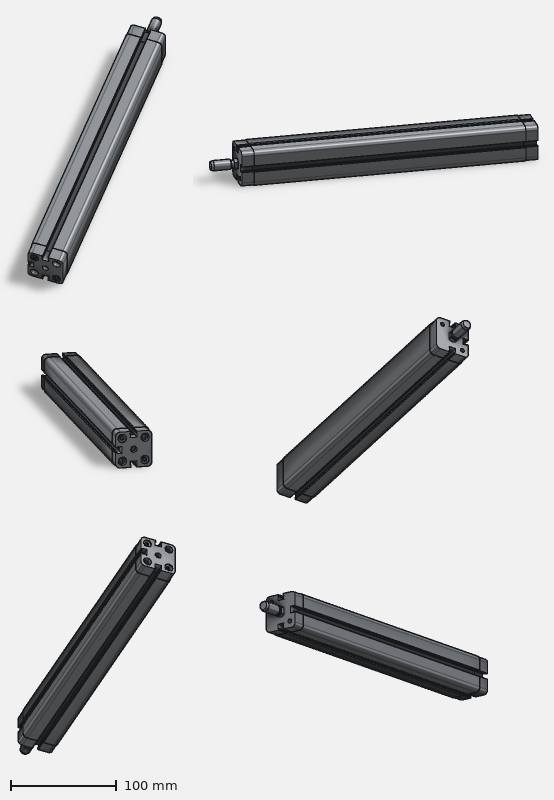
import cadquery as cq
import math


total_length = 314.5
rod_length = 26.0
cap_length = 12.0
barrel_width = 36.2
cap_width = 35.2
barrel_corner_radius = 4.7
housing_length = total_length - rod_length
barrel_length = housing_length - 2 * cap_length
cap_corner_radius = barrel_corner_radius - (barrel_width - cap_width) / 2

cap_slot_floor = 11.5
barrel_slot_floor = 11.3
slot_lip_underside = 15.7
slot_mouth_width = 6.3
slot_throat_width = 5.0
slot_throat_height = 17.0
slot_cavity_width = 6.5
slot_angles = (0, 90, 180)

hole_offset = 11.0
counterbore_diameter = 8.0
counterbore_depth = 5.0
through_hole_diameter = 4.0
screw_head_recess = 1.3
hex_socket_flats = 3.5
hex_socket_depth = 2.0
point_up_turn = 30
center_hole_diameter = 6.0
center_hole_depth = 4.7

rod_diameter = 10.0
tip_chamfer_length = 2.5
tip_chamfer_width = 1.0
thread_length = 19.8
thread_end_chamfer = 1.0
neck_diameter = 7.5
neck_end = 22.3
width_across_flats = 8.2


def square_block(width, corner_radius, start_y, length):
    """Square bar along Y with rounded long edges."""
    block = cq.Workplane("XY").box(width, length, width)
    return block.edges("|Y").fillet(corner_radius).translate((0, start_y + length / 2, 0))


def make_housing():
    """Barrel between two slightly narrower end caps."""
    housing = square_block(barrel_width, barrel_corner_radius, cap_length, barrel_length)
    for start_y in (0, cap_length + barrel_length):
        housing = housing.union(square_block(cap_width, cap_corner_radius, start_y, cap_length))
    return housing


def make_slot(angle, slot_floor, start_y, length):
    """T-slot cutter with a flared mouth, turned about the Y axis from the top side."""
    half_throat = slot_throat_width / 2
    half_mouth = slot_mouth_width / 2
    half_cavity = slot_cavity_width / 2
    right_side = [
        (half_cavity, slot_floor),
        (half_cavity, slot_lip_underside),
        (half_throat, slot_lip_underside),
        (half_throat, slot_throat_height),
        (half_mouth, barrel_width / 2),
    ]
    left_side = [(-x, z) for x, z in reversed(right_side)]
    slot = cq.Workplane("XZ").polyline(right_side + left_side).close().extrude(-length)
    return slot.translate((0, start_y, 0)).rotate((0, 0, 0), (0, 1, 0), -angle)


def make_hole(x, z, diameter, depth):
    """Round cutter running from the closed end toward +Y."""
    return cq.Workplane("XZ").center(x, z).circle(diameter / 2).extrude(-depth)


def make_hex_socket(x, z):
    """Hexagonal cutter, points up and down, reaching below the recessed screw head."""
    corner_diameter = hex_socket_flats / math.cos(math.pi / 6)
    socket_end = screw_head_recess + hex_socket_depth
    socket = cq.Workplane("XZ").polygon(6, corner_diameter).extrude(-socket_end)
    return socket.rotate((0, 0, 0), (0, 1, 0), point_up_turn).translate((x, 0, z))


def make_rod():
    """Threaded piston rod with a relief neck and two wrench flats."""
    rod_radius = rod_diameter / 2
    neck_radius = neck_diameter / 2
    profile = [
        (0, total_length),
        (rod_radius - tip_chamfer_width, total_length),
        (rod_radius, total_length - tip_chamfer_length),
        (rod_radius, total_length - thread_length + thread_end_chamfer),
        (rod_radius - thread_end_chamfer, total_length - thread_length),
        (neck_radius, total_length - thread_length),
        (neck_radius, total_length - neck_end),
        (rod_radius, total_length - neck_end),
        (rod_radius, housing_length),
        (0, housing_length),
    ]
    rod = cq.Workplane("XY").polyline(profile).close().revolve(360, (0, 0, 0), (0, 1, 0))
    flats_length = rod_length - neck_end
    flats_center_y = total_length - (neck_end + rod_length) / 2
    for side in (-1, 1):
        flat_x = side * (width_across_flats + rod_diameter) / 2
        flat_cutter = cq.Workplane("XY").box(rod_diameter, flats_length, rod_diameter)
        rod = rod.cut(flat_cutter.translate((flat_x, flats_center_y, 0)))
    return rod


result = make_housing()

for slot_angle in slot_angles:
    result = result.cut(make_slot(slot_angle, cap_slot_floor, 0, housing_length))
    result = result.cut(make_slot(slot_angle, barrel_slot_floor, cap_length, barrel_length))

for x_side in (-1, 1):
    for z_side in (-1, 1):
        hole_x = x_side * hole_offset
        hole_z = z_side * hole_offset
        if x_side == z_side:
            result = result.cut(make_hole(hole_x, hole_z, counterbore_diameter, counterbore_depth))
            result = result.cut(make_hole(hole_x, hole_z, through_hole_diameter, housing_length))
        else:
            result = result.cut(make_hole(hole_x, hole_z, counterbore_diameter, screw_head_recess))
            result = result.cut(make_hex_socket(hole_x, hole_z))

result = result.cut(make_hole(0, 0, center_hole_diameter, center_hole_depth))
result = result.union(make_rod())